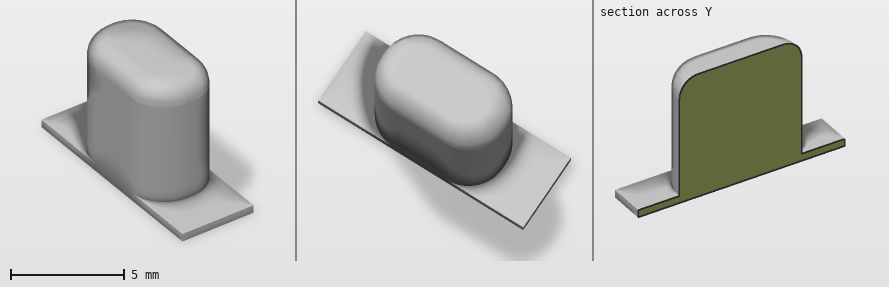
import cadquery as cq

plate_length = 10.8
plate_width = 3.85
plate_thickness = 0.4

total_height = 6.5
button_length = 6.4
button_width = plate_width
button_height = total_height - plate_thickness
button_offset_x = 0.05
corner_radius = 1.8
top_edge_radius = 1.0


def make_plate():
    """Thin rectangular plate resting on Z = 0."""
    return cq.Workplane("XY").box(
        plate_length, plate_width, plate_thickness, centered=(True, True, False)
    )


def make_button():
    """Upright block with rounded vertical corners and a rounded top edge."""
    block = (
        cq.Workplane("XY")
        .workplane(offset=plate_thickness)
        .center(button_offset_x, 0)
        .rect(button_length, button_width)
        .extrude(button_height)
    )
    rounded_block = block.edges("|Z").fillet(corner_radius)
    return rounded_block.faces(">Z").edges().fillet(top_edge_radius)


result = make_plate().union(make_button()).clean()